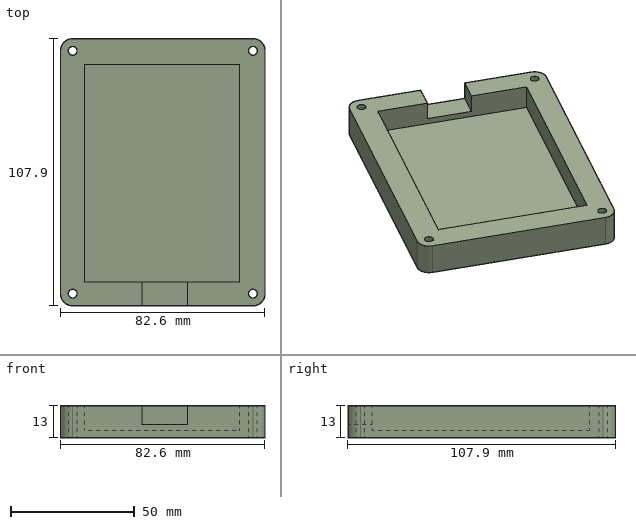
import cadquery as cq

width = 82.6
length = 107.9
height = 13.0
corner_radius = 5.0

hole_diameter = 3.5
hole_inset = corner_radius

wall_left = 9.7
wall_right = 10.5
wall_front = 9.7
wall_back = 10.5
pocket_depth = 10.0

notch_left = 32.9
notch_width = 18.5
notch_depth = 7.5


def block_from_top(x_min, x_max, y_min, y_max, depth):
    """Box between the given plan limits, reaching down from the top face."""
    return cq.Workplane("XY").box(
        x_max - x_min, y_max - y_min, depth, centered=False
    ).translate((x_min, y_min, height - depth))


body = cq.Workplane("XY").box(width, length, height, centered=False)
body = body.edges("|Z").fillet(corner_radius)

pocket = block_from_top(wall_left, width - wall_right, wall_front, length - wall_back, pocket_depth)
notch = block_from_top(notch_left, notch_left + notch_width, 0, wall_front, notch_depth)

hole_centres = [
    (x, y)
    for x in (hole_inset, width - hole_inset)
    for y in (hole_inset, length - hole_inset)
]
holes = cq.Workplane("XY").pushPoints(hole_centres).circle(hole_diameter / 2).extrude(height)

result = body.cut(pocket).cut(notch).cut(holes)